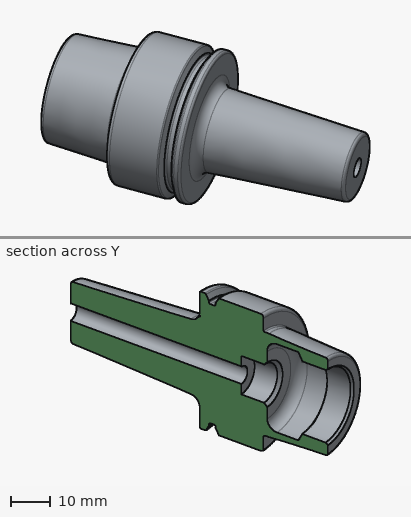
import cadquery as cq
import math


total_length = 80.0
flange_start = 20.0
flange_end = 40.0

gauge_x = 16.0
gauge_radius = 30.0 / 2
taper_slope = 1 / 20
taper_end = 18.4
shank_edge_round = 0.8
shank_root_round = 0.3

flange_radius = 40.0 / 2
groove_floor_radius = 34.8 / 2
groove_wall_radius = 18.2
groove_start = 35.0
groove_end = 37.0
groove_flank_angle = 30.0
groove_floor_round = 0.4
flange_front_round = 1.0
groove_rim_round = 0.5
flange_back_round = 0.6

nose_tip_radius = 18.1 / 2
nose_angle = 3.0
nose_edge_round = 0.9
nose_root_round = 2.8

bore_mouth_radius = 22.0 / 2
bore_radius = 21.0 / 2
mouth_chamfer_depth = 0.7
undercut_radius = 25.5 / 2
undercut_start = 8.0
undercut_flank_angle = 60.0
bore_depth = 18.9
bore_floor_round = 3.0

counterbore_mouth_radius = 13.0 / 2
counterbore_radius = 11.0 / 2
counterbore_depth = 8.0
through_radius = 5.0 / 2


def taper_radius(x):
    """Radius of the taper shank at position x."""
    return gauge_radius + (x - gauge_x) * taper_slope


def revolve(points):
    """Solid of revolution about X from (x, radius) points."""
    return cq.Workplane("XY").polyline(points).close().revolve(360, (0, 0, 0), (1, 0, 0))


def round_rim(body, x, radius, size):
    """Fillet the circular edge at position x with the given radius."""
    slack = 0.01
    low = (x - slack, -radius - slack, -radius - slack)
    high = (x + slack, radius + slack, radius + slack)
    rims = [
        edge
        for edge in body.edges(cq.selectors.BoxSelector(low, high, boundingbox=True)).vals()
        if edge.geomType() == "CIRCLE" and abs(edge.radius() - radius) < slack
    ]
    return body.newObject(rims).fillet(size)


def make_body():
    shank_radius = taper_radius(taper_end)
    flank_run = (flange_radius - groove_wall_radius) * math.tan(math.radians(groove_flank_angle))
    front_rim = groove_start - flank_run
    back_rim = groove_end + flank_run
    nose_growth = math.tan(math.radians(nose_angle))
    nose_base_radius = nose_tip_radius + (total_length - flange_end) * nose_growth
    body = revolve([
        (0, 0),
        (0, taper_radius(0)),
        (taper_end, shank_radius),
        (flange_start, shank_radius),
        (flange_start, flange_radius),
        (front_rim, flange_radius),
        (groove_start, groove_wall_radius),
        (groove_start, groove_floor_radius),
        (groove_end, groove_floor_radius),
        (groove_end, groove_wall_radius),
        (back_rim, flange_radius),
        (flange_end, flange_radius),
        (flange_end, nose_base_radius),
        (total_length, nose_tip_radius),
        (total_length, 0),
    ])
    rounds = [
        (0, taper_radius(0), shank_edge_round),
        (flange_start, shank_radius, shank_root_round),
        (flange_start, flange_radius, flange_front_round),
        (front_rim, flange_radius, groove_rim_round),
        (groove_start, groove_floor_radius, groove_floor_round),
        (groove_end, groove_floor_radius, groove_floor_round),
        (back_rim, flange_radius, groove_rim_round),
        (flange_end, flange_radius, flange_back_round),
        (flange_end, nose_base_radius, nose_root_round),
        (total_length, nose_tip_radius, nose_edge_round),
    ]
    for x, radius, size in rounds:
        body = round_rim(body, x, radius, size)
    return body


def make_undercut_bore():
    flank_run = (undercut_radius - bore_radius) / math.tan(math.radians(undercut_flank_angle))
    bore = revolve([
        (0, 0),
        (0, bore_mouth_radius),
        (mouth_chamfer_depth, bore_radius),
        (undercut_start, bore_radius),
        (undercut_start + flank_run, undercut_radius),
        (bore_depth, undercut_radius),
        (bore_depth, 0),
    ])
    return round_rim(bore, bore_depth, undercut_radius, bore_floor_round)


def make_center_holes():
    chamfer_depth = counterbore_mouth_radius - counterbore_radius
    counterbore_floor = bore_depth + counterbore_depth
    return revolve([
        (bore_depth, 0),
        (bore_depth, counterbore_mouth_radius),
        (bore_depth + chamfer_depth, counterbore_radius),
        (counterbore_floor, counterbore_radius),
        (counterbore_floor, through_radius),
        (total_length, through_radius),
        (total_length, 0),
    ])


result = make_body().cut(make_undercut_bore()).cut(make_center_holes())